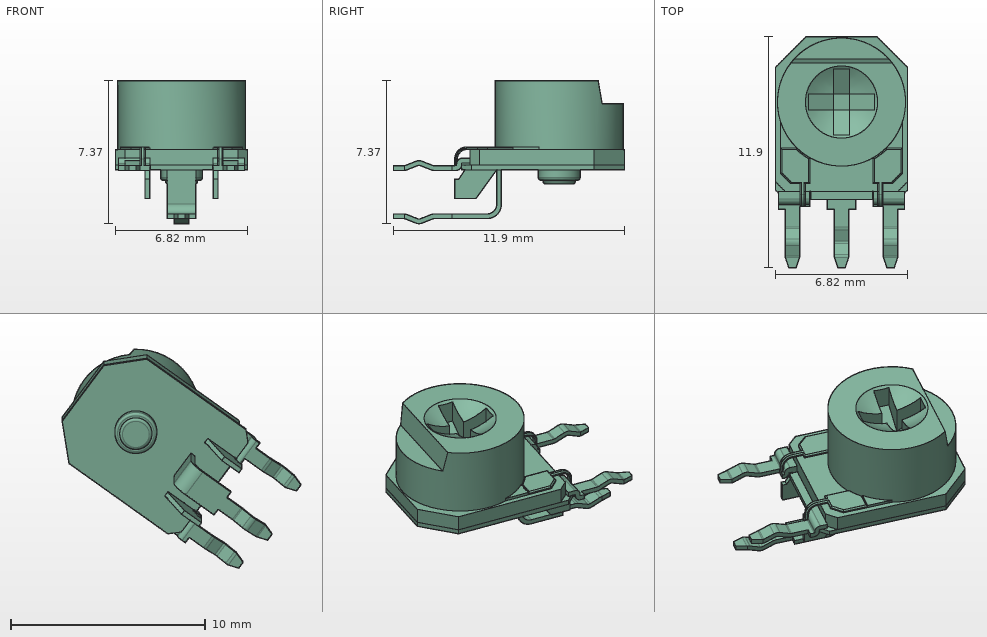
import cadquery as cq
import math


half_width = 3.41
back_y = 3.37
back_chamfer = 1.58
front_chamfer = 0.5
plate_top_z = 0.25
plate_front_y = -5.03
board_top_z = 1.05
board_front_y = -4.6

rotor_radius = 3.3
rotor_top_z = 4.6
step_z = 3.42
step_bottom_y = 2.22
step_top_y = 2.01
dish_radius = 1.86
dish_depth = 0.63
slot_width = 0.81
slot_length = 3.4
slot_end_depth = 1.26
slot_center_depth = 2.0

rivet_radius = 1.08
rivet_height = 0.54
rivet_tip_radius = 0.83
rivet_tip_height = 0.19
rivet_round = 0.14

sheet = 0.25
lead_pitch = 2.52
pin_width = 0.76
pin_tip_width = 0.38
pin_tip_y = back_y - 11.91
pin_taper_y = -7.97
shoulder_y = -5.53
kink_start_y = -6.49
kink_run = 0.73
kink_height = 0.29
kink_radius = 0.31

terminal_outer_x = 3.25
terminal_inner_x = 1.63
pin_inner_x = lead_pitch - pin_width / 2
shelf_z = 0.49
foot_z = 0.1
riser_y = plate_front_y - sheet / 2
riser_radius = 0.17
inner_foot_y = -5.38
slot_gap = 0.04
blade_back_y = -3.22
blade_bottom_z = -1.48
blade_bottom_y = -4.29
blade_notch_z = -0.46
blade_notch_y = -5.17
blade_neck_y = -4.86

pad_thickness = 0.14
pad_outer_x = 3.13
pad_back_y = -2.37
pad_front_y = -4.2
pad_corner = 0.52
pad_bevel = 0.07
strap_inner_x = 1.86
strap_bend_radius = 0.55
film_end_y = -math.sqrt(rotor_radius**2 - pad_outer_x**2)

center_width = 1.49
center_y = -3.1
center_foot_z = -2.38
center_bend_radius = 0.62


def box(x_range, y_range, z_range):
    """Axis-aligned block between pairs of limits."""
    (x0, x1), (y0, y1), (z0, z1) = x_range, y_range, z_range
    return cq.Workplane("XY").box(x1 - x0, y1 - y0, z1 - z0, centered=False).translate((x0, y0, z0))


def slab(front_y, bottom_z, top_z):
    """Flat plate with two large back chamfers and two small front ones."""
    plate = box((-half_width, half_width), (front_y, back_y), (bottom_z, top_z))
    plate = plate.edges("|Z and >Y").chamfer(back_chamfer)
    return plate.edges("|Z and <Y").chamfer(front_chamfer)


def rounded_path(points, radii):
    """Open wire in the YZ plane whose inner corners are replaced by tangent arcs."""
    corners = [cq.Vector(0, y, z) for y, z in points]
    edges = []
    start = corners[0]
    for before, corner, after, radius in zip(corners, corners[1:], corners[2:], radii):
        back = (before - corner).normalized()
        ahead = (after - corner).normalized()
        half_angle = back.getAngle(ahead) / 2
        tangent_length = radius / math.tan(half_angle)
        arc_start = corner + back * tangent_length
        arc_end = corner + ahead * tangent_length
        to_center = (back + ahead).normalized()
        arc_middle = corner + to_center * (radius / math.sin(half_angle) - radius)
        edges.append(cq.Edge.makeLine(start, arc_start))
        edges.append(cq.Edge.makeThreePointArc(arc_start, arc_middle, arc_end))
        start = arc_end
    edges.append(cq.Edge.makeLine(start, corners[-1]))
    return cq.Workplane(cq.Wire.assembleEdges(edges))


def kinked_pin(z, direction):
    """Midline points and bend radii of a pin with one V-shaped kink, up (+1) or down (-1)."""
    points = [
        (kink_start_y, z),
        (kink_start_y - kink_run, z + direction * kink_height),
        (kink_start_y - 2 * kink_run, z),
        (pin_tip_y, z),
    ]
    return points, [kink_radius] * 3


def pin_outline(x):
    """Plan of a tapered pin from the shoulder to the tip, as a tall block."""
    half_pin = pin_width / 2
    half_tip = pin_tip_width / 2
    corners = [
        (x - half_pin, shoulder_y + sheet),
        (x - half_pin, pin_taper_y),
        (x - half_tip, pin_tip_y),
        (x + half_tip, pin_tip_y),
        (x + half_pin, pin_taper_y),
        (x + half_pin, shoulder_y + sheet),
    ]
    return cq.Workplane("XY").polyline(corners).close().extrude(rotor_top_z, both=True)


def plan_block(x_range, y_range):
    """Tall block that keeps a rectangle of a strip's plan."""
    return box(x_range, y_range, (-rotor_top_z, rotor_top_z))


def make_plate():
    plate = slab(plate_front_y, 0, plate_top_z)
    inner_x = terminal_inner_x - slot_gap
    outer_x = terminal_inner_x + sheet
    slot = box((inner_x, outer_x), (plate_front_y, blade_back_y), (0, plate_top_z))
    return plate.cut(slot).cut(slot.mirror("YZ"))


def make_board():
    return slab(board_front_y, plate_top_z, board_top_z)


def cross_arm():
    """One slot through the axis, its floor sloping down to a flat center."""
    half_length = slot_length / 2
    half_center = slot_width / 2
    end_z = rotor_top_z - slot_end_depth
    center_z = rotor_top_z - slot_center_depth
    profile = [
        (-half_length, rotor_top_z),
        (-half_length, end_z),
        (-half_center, center_z),
        (half_center, center_z),
        (half_length, end_z),
        (half_length, rotor_top_z),
    ]
    return cq.Workplane("XZ").polyline(profile).close().extrude(slot_width / 2, both=True)


def make_rotor():
    rotor = cq.Workplane("XY").circle(rotor_radius).extrude(rotor_top_z - board_top_z)
    rotor = rotor.translate((0, 0, board_top_z))
    step_profile = [
        (step_top_y, rotor_top_z),
        (step_bottom_y, step_z),
        (rotor_radius, step_z),
        (rotor_radius, rotor_top_z),
    ]
    step = cq.Workplane("YZ").polyline(step_profile).close().extrude(rotor_radius, both=True)
    sphere_radius = (dish_radius**2 + dish_depth**2) / (2 * dish_depth)
    dish = cq.Workplane("XY").sphere(sphere_radius)
    dish = dish.translate((0, 0, rotor_top_z - dish_depth + sphere_radius))
    arm = cross_arm()
    return rotor.cut(step).cut(dish).cut(arm).cut(arm.rotate((0, 0, 0), (0, 0, 1), 90))


def make_rivet():
    head = cq.Workplane("XY").circle(rivet_radius).extrude(-rivet_height)
    head = head.faces("<Z").edges().fillet(rivet_round)
    tip = cq.Workplane("XY").circle(rivet_tip_radius).extrude(-rivet_height - rivet_tip_height)
    tip = tip.faces("<Z").edges().fillet(rivet_round)
    return head.union(tip)


def rotor_clearance():
    """Space taken by the rotor, cut away from the parts that lie around it on the board."""
    return cq.Workplane("XY").circle(rotor_radius).extrude(rotor_top_z)


def terminal_lead():
    """Sheet strip: shelf against the board, riser, foot with shoulders and kinked pin."""
    pin_points, pin_radii = kinked_pin(foot_z, 1)
    points = [(board_front_y, shelf_z), (riser_y, shelf_z), (riser_y, foot_z), *pin_points]
    path = rounded_path(points, [riser_radius, riser_radius, *pin_radii])
    middle_x = (terminal_inner_x + terminal_outer_x) / 2
    section = cq.Workplane("XZ", origin=(middle_x, board_front_y, shelf_z))
    strip = section.rect(terminal_outer_x - terminal_inner_x, sheet).sweep(path)
    plan = plan_block((terminal_inner_x, terminal_outer_x), (inner_foot_y, board_front_y))
    plan = plan.union(plan_block((pin_inner_x, terminal_outer_x), (shoulder_y, inner_foot_y)))
    return strip.intersect(plan.union(pin_outline(lead_pitch)))


def terminal_blade():
    """Side flap hanging from the inner edge of the shelf, through the plate slot."""
    profile = [
        (board_front_y, shelf_z),
        (riser_y, shelf_z),
        (riser_y, foot_z),
        (plate_front_y, foot_z),
        (plate_front_y, plate_top_z),
        (blade_neck_y, plate_top_z),
        (blade_neck_y, 0),
        (blade_notch_y, blade_notch_z),
        (inner_foot_y, blade_notch_z),
        (inner_foot_y, blade_bottom_z),
        (blade_bottom_y, blade_bottom_z),
        (blade_back_y, 0),
        (blade_back_y, plate_top_z),
        (board_front_y, plate_top_z),
    ]
    blade = cq.Workplane("YZ").polyline(profile).close().extrude(sheet)
    return blade.translate((terminal_inner_x, 0, 0))


def terminal_pad():
    """Beveled solder pad on the board, hollowed along the rotor."""
    pad = box(
        (terminal_inner_x, pad_outer_x),
        (pad_front_y, pad_back_y),
        (board_top_z, board_top_z + pad_thickness),
    )
    pad = pad.edges("|Z and >X and <Y").chamfer(pad_corner)
    return pad.cut(rotor_clearance()).faces(">Z").edges().chamfer(pad_bevel)


def terminal_strap():
    """Beveled strap from the pad over the board edge down to the foot."""
    half_strap = (pin_inner_x - strap_inner_x) / 2
    half_thickness = pad_thickness / 2
    middle_z = board_top_z + half_thickness
    middle_y = inner_foot_y + half_thickness
    start_y = pad_front_y + 2 * pad_bevel
    profile = [
        (-half_strap, -half_thickness),
        (half_strap, -half_thickness),
        (half_strap, half_thickness - pad_bevel),
        (half_strap - pad_bevel, half_thickness),
        (pad_bevel - half_strap, half_thickness),
        (-half_strap, half_thickness - pad_bevel),
    ]
    points = [(start_y, middle_z), (middle_y, middle_z), (middle_y, foot_z)]
    section = cq.Workplane("XZ", origin=(strap_inner_x + half_strap, start_y, middle_z))
    return section.polyline(profile).close().sweep(rounded_path(points, [strap_bend_radius]))


def make_side_terminal():
    return terminal_lead().union(terminal_blade()).union(terminal_strap()).union(terminal_pad())


def make_film():
    film = box(
        (terminal_inner_x, pad_outer_x),
        (pad_back_y, film_end_y),
        (board_top_z, board_top_z + pad_thickness),
    )
    return film.cut(rotor_clearance())


def make_center_terminal():
    pin_points, pin_radii = kinked_pin(center_foot_z, -1)
    points = [(center_y, 0), (center_y, center_foot_z), *pin_points]
    path = rounded_path(points, [center_bend_radius, *pin_radii])
    strip = cq.Workplane("XY", origin=(0, center_y, 0)).rect(center_width, sheet).sweep(path)
    wide = plan_block((-center_width / 2, center_width / 2), (shoulder_y, center_y + sheet))
    return strip.intersect(wide.union(pin_outline(0)))


plate = make_plate()
board = make_board()
rotor = make_rotor()
rivet = make_rivet()
center_terminal = make_center_terminal()
right_terminal = make_side_terminal()
right_film = make_film()

side_terminals = []
films = []
for turn_over in (False, True):
    side_terminals.append(right_terminal.mirror("YZ") if turn_over else right_terminal)
    films.append(right_film.mirror("YZ") if turn_over else right_film)

bodies = [plate, board, rotor, rivet, center_terminal, *side_terminals, *films]
result = cq.Compound.makeCompound([body.solids().val() for body in bodies])